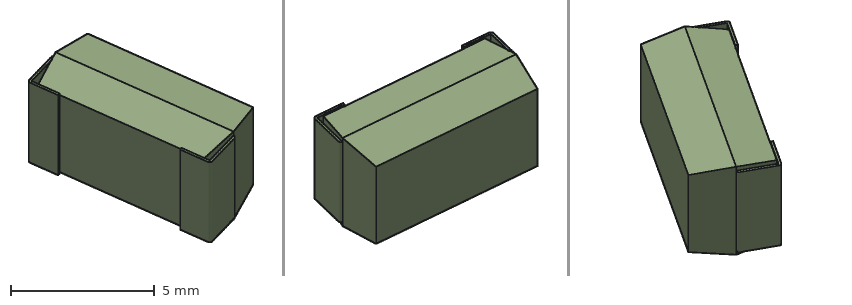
import cadquery as cq

case_length = 7.42
case_height = 4.19
back_depth = 1.65
front_depth = 1.52
taper_inset = 0.26

strip_thickness = 0.1
strip_width = 3.81
pad_length = 1.27
bend_radius = strip_thickness


def case_half(depth, direction):
    """Rectangular half of the case, narrowing away from the parting plane.

    direction is +1 for the half toward +Y and -1 for the half toward -Y.
    """
    return (
        cq.Workplane(cq.Plane((0, 0, 0), xDir=(1, 0, 0), normal=(0, direction, 0)))
        .rect(case_length, case_height)
        .workplane(offset=depth)
        .rect(case_length - 2 * taper_inset, case_height - 2 * taper_inset)
        .loft(ruled=True)
    )


def terminal(side):
    """L-shaped strip with rounded outer corners; side is -1 for -X, +1 for +X."""
    inner_x = case_length / 2
    outer_x = inner_x + strip_thickness
    inner_y = -front_depth
    outer_y = inner_y - strip_thickness
    pad_end_x = outer_x - pad_length
    strip = (
        cq.Workplane("XY")
        .moveTo(inner_x, 0)
        .radiusArc((outer_x, -bend_radius), bend_radius)
        .lineTo(outer_x, outer_y + bend_radius)
        .radiusArc((outer_x - bend_radius, outer_y), bend_radius)
        .lineTo(pad_end_x, outer_y)
        .lineTo(pad_end_x, inner_y)
        .lineTo(inner_x, inner_y)
        .close()
        .extrude(strip_width / 2, both=True)
    )
    return strip if side > 0 else strip.mirror("YZ")


back_half = case_half(back_depth, 1)
front_half = case_half(front_depth, -1)
terminals = [terminal(side) for side in (-1, 1)]

result = cq.Compound.makeCompound(
    [back_half.val(), front_half.val(), *[strip.val() for strip in terminals]]
)